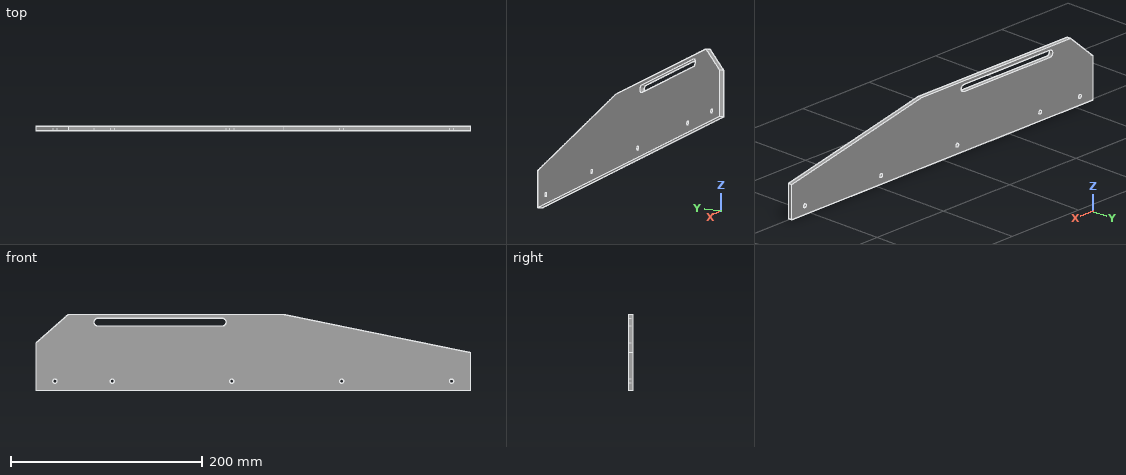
import cadquery as cq

length = 455.0
thickness = 5.0
height = 80.0

left_edge_height = 50.0
left_slope_run = 34.0
right_edge_height = 40.0
right_slope_start = 259.0

hole_diameter = 4.2
hole_height = 10.0
hole_positions = [20.0, 80.0, 205.0, 320.0, 435.0]

slot_start = 61.0
slot_end = 199.0
slot_width = 8.0
slot_height = 71.75


def plate():
    """Flat plate with sloped top corners; front face on Y = 0."""
    outline = [
        (0, 0),
        (length, 0),
        (length, right_edge_height),
        (right_slope_start, height),
        (left_slope_run, height),
        (0, left_edge_height),
    ]
    return cq.Workplane("XZ").polyline(outline).close().extrude(-thickness)


def mounting_holes():
    """Cylinders that pass through the plate along the bottom edge."""
    centers = [(x, hole_height) for x in hole_positions]
    return cq.Workplane("XZ").pushPoints(centers).circle(hole_diameter / 2).extrude(-thickness)


def slot():
    """Round-ended slot that passes through the plate."""
    slot_center = (slot_start + slot_end) / 2
    return (
        cq.Workplane("XZ")
        .center(slot_center, slot_height)
        .slot2D(slot_end - slot_start, slot_width)
        .extrude(-thickness)
    )


result = plate().cut(mounting_holes()).cut(slot())